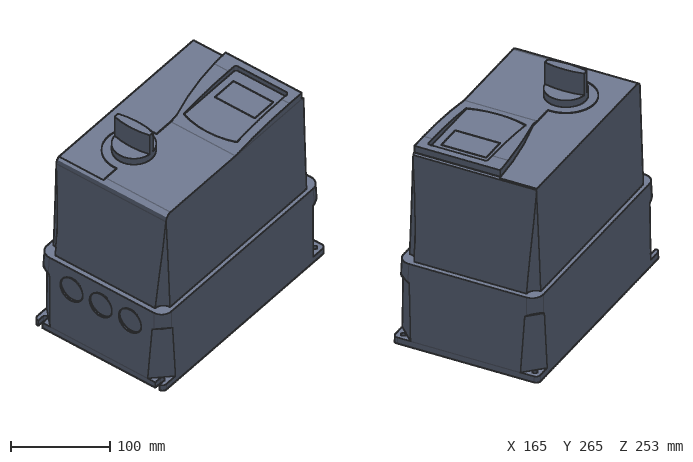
import cadquery as cq
import math

LENGTH = 265.0
WIDTH = 165.0
FLANGE_TOP = 7.5
FLANGE_CORNER = 4.8
MOUNT_X = 74.7
MOUNT_Y = 124.5
MOUNT_DIAMETER = 5.3

BOX_TOP = 96.5
BOX_TOP_WIDTH = 159.0
BOX_TOP_LENGTH = 256.5
RIM_RADIUS = 12.7
FLANGE_TOP_WIDTH = WIDTH - (WIDTH - BOX_TOP_WIDTH) * FLANGE_TOP / BOX_TOP
CORNER_FLAT_TOP = 73.7
CORNER_FLAT_DISTANCE = 137.8
RIM_OVERHANG = 4.0
CORNER_CUT_DEPTH = 21.2

KNOCKOUT_PITCH = 37.4
KNOCKOUT_Z = 69.7
KNOCKOUT_RADIUS = 14.3
KNOCKOUT_FLOOR_Y = -127.7

HOOD_TOP = 219.0
HOOD_BASE_HALF_WIDTH = 74.5
HOOD_TOP_HALF_WIDTH = 70.0
HOOD_BASE_HALF_LENGTH = 122.2
HOOD_TOP_HALF_LENGTH = 112.4
FLARE_SAG = 1.9
FRONT_EDGE_RADIUS = 7.7
REAR_EDGE_CHAMFER = 1.9
SCREW_CLEARANCE_RADIUS = 10.5

COVER_DROP = 0.8
COVER_TOP = HOOD_TOP - COVER_DROP
COVER_EDGE_X = -13.0

PANEL_TOP = 226.5
PANEL_REAR_Y = 109.7
PANEL_FLAT_END_Y = 89.5
PANEL_FRONT_Y = 1.3
PANEL_REAR_X = -27.5
PANEL_CURVE_MID = (-20.7, 46.5)
PANEL_CURVE_END_Y = 11.0

POCKET_LEFT = -8.0
POCKET_RIGHT = 59.5
POCKET_REAR_Y = 101.0
POCKET_SIDE_END_Y = 16.5
POCKET_FRONT_Y = 10.5
POCKET_FLOOR = 220.2
POCKET_CORNER = 2.6
SCREEN_X = 26.0
SCREEN_Y = 71.5
SCREEN_WIDTH = 51.0
SCREEN_LENGTH = 30.2
SCREEN_DEPTH = 0.5

KNOB_X = -16.5
KNOB_Y = -54.3
KNOB_RADIUS = 22.5
KNOB_RING_RADIUS = 32.5
KNOB_BASE_TOP = 227.0
KNOB_TOP = 253.0
GRIP_END_THICKNESS = 5.8
GRIP_MID_THICKNESS = 11.0

CORNERS = [(sx, sy) for sx in (-1, 1) for sy in (-1, 1)]


def make_flange():
    flange = (
        cq.Workplane("XY")
        .rect(WIDTH, LENGTH)
        .workplane(offset=FLANGE_TOP)
        .rect(FLANGE_TOP_WIDTH, LENGTH)
        .loft(ruled=True)
    )
    return flange.edges("not(#Z)").fillet(FLANGE_CORNER)


def make_corner_cut(sx, sy):
    """Flat across a box corner, ending in a slope below the rounded rim."""
    diagonal = cq.Vector(sx, sy, 0)
    across = diagonal.cross(cq.Vector(0, 0, 1))
    plane = cq.Plane(origin=(0, 0, 0), xDir=diagonal, normal=across)
    inner = CORNER_FLAT_DISTANCE
    outer = inner + CORNER_CUT_DEPTH
    profile = [
        (inner, FLANGE_TOP),
        (inner, CORNER_FLAT_TOP),
        (inner + RIM_OVERHANG, CORNER_FLAT_TOP + RIM_OVERHANG),
        (outer, CORNER_FLAT_TOP + RIM_OVERHANG),
        (outer, FLANGE_TOP),
    ]
    return cq.Workplane(plane).polyline(profile).close().extrude(LENGTH / 4, both=True)


def make_box():
    box = (
        cq.Workplane("XY", origin=(0, 0, FLANGE_TOP))
        .rect(FLANGE_TOP_WIDTH, LENGTH)
        .workplane(offset=BOX_TOP - FLANGE_TOP)
        .rect(BOX_TOP_WIDTH, BOX_TOP_LENGTH)
        .loft(ruled=True)
    )
    box = box.edges("not(#Z)").fillet(RIM_RADIUS)
    for sx, sy in CORNERS:
        box = box.cut(make_corner_cut(sx, sy))
    return box


def make_knockouts():
    return (
        cq.Workplane("XZ", origin=(0, KNOCKOUT_FLOOR_Y, KNOCKOUT_Z))
        .pushPoints([(i * KNOCKOUT_PITCH, 0) for i in (-1, 0, 1)])
        .circle(KNOCKOUT_RADIUS)
        .extrude(LENGTH / 2 + KNOCKOUT_FLOOR_Y)
    )


def make_mounting_cuts():
    """Round holes at the +Y corners and open-ended slots at the -Y corners."""
    holes = (
        cq.Workplane("XY")
        .pushPoints([(sx * MOUNT_X, sy * MOUNT_Y) for sx, sy in CORNERS])
        .circle(MOUNT_DIAMETER / 2)
        .extrude(FLANGE_TOP)
    )
    slot_run = LENGTH / 2 - MOUNT_Y
    slots = (
        cq.Workplane("XY")
        .pushPoints([(sx * MOUNT_X, -MOUNT_Y - slot_run / 2) for sx in (-1, 1)])
        .rect(MOUNT_DIAMETER, slot_run)
        .extrude(FLANGE_TOP)
    )
    return holes.union(slots)


def make_hood():
    """Side profile with curved end walls, trimmed by the tapering side walls."""
    mid_y = (HOOD_BASE_HALF_LENGTH + HOOD_TOP_HALF_LENGTH) / 2 - FLARE_SAG
    mid_z = (BOX_TOP + HOOD_TOP) / 2
    hood = (
        cq.Workplane("YZ")
        .moveTo(-HOOD_BASE_HALF_LENGTH, BOX_TOP)
        .lineTo(HOOD_BASE_HALF_LENGTH, BOX_TOP)
        .threePointArc((mid_y, mid_z), (HOOD_TOP_HALF_LENGTH, HOOD_TOP))
        .lineTo(-HOOD_TOP_HALF_LENGTH, HOOD_TOP)
        .threePointArc((-mid_y, mid_z), (-HOOD_BASE_HALF_LENGTH, BOX_TOP))
        .close()
        .extrude(WIDTH / 2, both=True)
    )
    hood = hood.faces(">Z").edges("<Y").fillet(FRONT_EDGE_RADIUS)
    hood = hood.faces(">Z").edges(">Y").chamfer(REAR_EDGE_CHAMFER)
    side_walls = (
        cq.Workplane("XZ")
        .polyline([
            (-HOOD_BASE_HALF_WIDTH, BOX_TOP),
            (HOOD_BASE_HALF_WIDTH, BOX_TOP),
            (HOOD_TOP_HALF_WIDTH, HOOD_TOP),
            (-HOOD_TOP_HALF_WIDTH, HOOD_TOP),
        ])
        .close()
        .extrude(LENGTH / 2, both=True)
    )
    screw_clearances = (
        cq.Workplane("XY", origin=(0, 0, BOX_TOP))
        .pushPoints([(sx * HOOD_BASE_HALF_WIDTH, sy * HOOD_BASE_HALF_LENGTH) for sx, sy in CORNERS])
        .circle(SCREW_CLEARANCE_RADIUS)
        .extrude(HOOD_TOP - BOX_TOP)
    )
    return hood.intersect(side_walls).cut(screw_clearances)


def panel_curve(outline):
    """Continue an outline from the panel's curved -X edge up to its rear corner."""
    return outline.threePointArc(PANEL_CURVE_MID, (PANEL_REAR_X, PANEL_REAR_Y))


def make_cover_cut():
    """Thin layer removed beside the panel, stopping at the ring around the knob."""
    outline = (
        cq.Workplane("XY", origin=(0, 0, COVER_TOP))
        .moveTo(-WIDTH / 2, -LENGTH / 2)
        .lineTo(COVER_EDGE_X, -LENGTH / 2)
        .lineTo(COVER_EDGE_X, PANEL_CURVE_END_Y)
    )
    layer = (
        panel_curve(outline)
        .lineTo(PANEL_REAR_X, LENGTH / 2)
        .lineTo(-WIDTH / 2, LENGTH / 2)
        .close()
        .extrude(COVER_DROP)
    )
    ring = (
        cq.Workplane("XY", origin=(KNOB_X, KNOB_Y, COVER_TOP))
        .circle(KNOB_RING_RADIUS)
        .extrude(COVER_DROP)
    )
    return layer.cut(ring)


def make_panel():
    """Raised panel: flat at the rear, then curving down to the hood top."""
    run = PANEL_FLAT_END_Y - PANEL_FRONT_Y
    drop = PANEL_TOP - HOOD_TOP
    arc_radius = (run ** 2 + drop ** 2) / (2 * drop)
    half_angle = math.asin(run / arc_radius) / 2
    arc_mid = (
        PANEL_FLAT_END_Y - arc_radius * math.sin(half_angle),
        PANEL_TOP - arc_radius * (1 - math.cos(half_angle)),
    )
    profile = (
        cq.Workplane("YZ")
        .moveTo(PANEL_REAR_Y, COVER_TOP)
        .lineTo(PANEL_REAR_Y, PANEL_TOP)
        .lineTo(PANEL_FLAT_END_Y, PANEL_TOP)
        .threePointArc(arc_mid, (PANEL_FRONT_Y, HOOD_TOP))
        .lineTo(PANEL_FRONT_Y, COVER_TOP)
        .close()
        .extrude(WIDTH / 2, both=True)
    )
    outline = (
        cq.Workplane("XY", origin=(0, 0, COVER_TOP))
        .moveTo(HOOD_TOP_HALF_WIDTH, PANEL_REAR_Y)
        .lineTo(HOOD_TOP_HALF_WIDTH, PANEL_FRONT_Y)
        .lineTo(COVER_EDGE_X, PANEL_FRONT_Y)
        .lineTo(COVER_EDGE_X, PANEL_CURVE_END_Y)
    )
    return profile.intersect(panel_curve(outline).close().extrude(PANEL_TOP - COVER_TOP))


def make_display_cut():
    pocket = (
        cq.Workplane("XY", origin=(0, 0, POCKET_FLOOR))
        .moveTo(POCKET_LEFT, POCKET_REAR_Y)
        .lineTo(POCKET_LEFT, POCKET_SIDE_END_Y)
        .threePointArc(
            ((POCKET_LEFT + POCKET_RIGHT) / 2, POCKET_FRONT_Y),
            (POCKET_RIGHT, POCKET_SIDE_END_Y),
        )
        .lineTo(POCKET_RIGHT, POCKET_REAR_Y)
        .close()
        .extrude(PANEL_TOP - POCKET_FLOOR)
        .edges("|Z and >Y")
        .fillet(POCKET_CORNER)
    )
    screen = (
        cq.Workplane("XY", origin=(SCREEN_X, SCREEN_Y, POCKET_FLOOR - SCREEN_DEPTH))
        .rect(SCREEN_WIDTH, SCREEN_LENGTH)
        .extrude(SCREEN_DEPTH)
    )
    return pocket.union(screen)


def make_knob():
    base = (
        cq.Workplane("XY", origin=(KNOB_X, KNOB_Y, COVER_TOP))
        .circle(KNOB_RADIUS)
        .extrude(KNOB_BASE_TOP - COVER_TOP)
    )
    end_y = GRIP_END_THICKNESS / 2
    mid_y = GRIP_MID_THICKNESS / 2
    end_x = math.sqrt(KNOB_RADIUS ** 2 - end_y ** 2)
    grip = (
        cq.Workplane("XY", origin=(KNOB_X, KNOB_Y, COVER_TOP))
        .moveTo(-end_x, -end_y)
        .threePointArc((0, -mid_y), (end_x, -end_y))
        .threePointArc((KNOB_RADIUS, 0), (end_x, end_y))
        .threePointArc((0, mid_y), (-end_x, end_y))
        .threePointArc((-KNOB_RADIUS, 0), (-end_x, -end_y))
        .close()
        .extrude(KNOB_TOP - COVER_TOP)
    )
    return base.union(grip)


lower_body = make_flange().union(make_box()).cut(make_knockouts()).cut(make_mounting_cuts())
hood = make_hood().cut(make_cover_cut()).union(make_panel()).cut(make_display_cut())
result = lower_body.union(hood).union(make_knob())